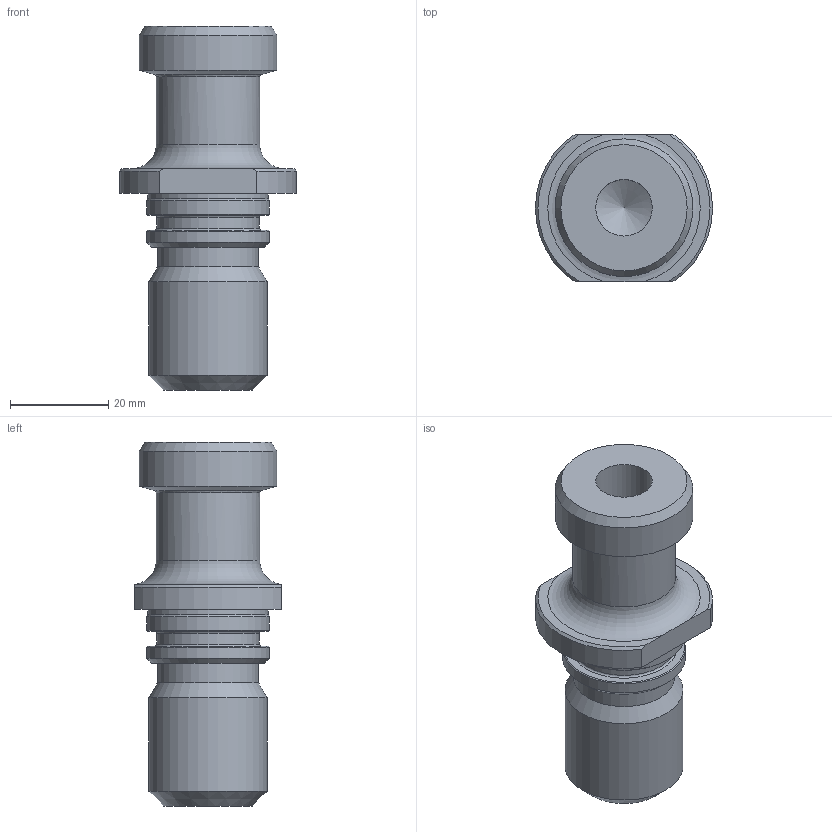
import cadquery as cq
import math


head_diameter = 28.0
head_top = 34.0
head_bottom = 25.0
head_chamfer_height = 1.85
head_chamfer_angle = 32.0
grip_angle = 15.0
grip_root_fillet = 0.5
neck_diameter = 21.0
neck_fillet = 5.0

flange_diameter = 36.0
flange_thickness = 5.0
flange_chamfer = 0.5
width_across_flats = 30.0

undercut_diameter = 24.5
undercut_root_fillet = 0.15
collar_diameter = 25.0
collar_top = -1.1
collar_chamfer_top_height = 0.4
groove_top = -4.5
groove_width = 3.0
groove_diameter = 20.8
groove_root_fillet = 0.4
groove_edge_chamfer = 0.2
collar_bottom = -11.0
collar_bottom_chamfer = 1.0

relief_diameter = 20.5
shank_diameter = 24.0
shank_top = -18.0
shank_taper_angle = 30.0
shank_bottom = -40.0
shank_chamfer = 3.0

hole_diameter = 11.5
hole_depth = 20.0
drill_point_angle = 118.0

SELECTION_MARGIN = 0.01


def tan_degrees(angle):
    return math.tan(math.radians(angle))


def turned_section(points):
    """Solid of revolution about Z from (radius, z) points."""
    outline = cq.Workplane("XZ").polyline(points).close()
    return outline.revolve(360, (0, 0, 0), (0, 1, 0))


def fillet_circle(body, diameter, height, radius):
    """Round the circular edge of the given diameter lying at the given height."""
    outer = diameter / 2 + SELECTION_MARGIN
    inner = diameter / 2 - SELECTION_MARGIN
    bottom = height - SELECTION_MARGIN
    top = height + SELECTION_MARGIN
    disc = cq.selectors.BoxSelector((-outer, -outer, bottom), (outer, outer, top), boundingbox=True)
    core = cq.selectors.BoxSelector((-inner, -inner, bottom), (inner, inner, top), boundingbox=True)
    return body.edges(disc - core).fillet(radius)


def make_head_and_flange():
    head_radius = head_diameter / 2
    neck_radius = neck_diameter / 2
    flange_radius = flange_diameter / 2
    chamfer_inset = head_chamfer_height * tan_degrees(head_chamfer_angle)
    neck_top = head_bottom - (head_radius - neck_radius) * tan_degrees(grip_angle)
    body = turned_section([
        (0, 0),
        (flange_radius, 0),
        (flange_radius, flange_thickness - flange_chamfer),
        (flange_radius - flange_chamfer, flange_thickness),
        (neck_radius, flange_thickness),
        (neck_radius, neck_top),
        (head_radius, head_bottom),
        (head_radius, head_top - head_chamfer_height),
        (head_radius - chamfer_inset, head_top),
        (0, head_top),
    ])
    body = fillet_circle(body, neck_diameter, neck_top, grip_root_fillet)
    return fillet_circle(body, neck_diameter, flange_thickness, neck_fillet)


def cut_flats(body):
    """Trim the part to the width across the two flats, which face -Y and +Y."""
    envelope = cq.Workplane("XY").workplane(offset=shank_bottom).rect(flange_diameter, width_across_flats)
    return body.intersect(envelope.extrude(head_top - shank_bottom))


def make_collar_and_shank():
    undercut_radius = undercut_diameter / 2
    collar_radius = collar_diameter / 2
    groove_mouth_radius = collar_radius - groove_edge_chamfer
    groove_radius = groove_diameter / 2
    relief_radius = relief_diameter / 2
    shank_radius = shank_diameter / 2
    groove_bottom = groove_top - groove_width
    taper_height = (shank_radius - relief_radius) / tan_degrees(shank_taper_angle)
    body = turned_section([
        (0, 0),
        (undercut_radius, 0),
        (undercut_radius, collar_top),
        (collar_radius, collar_top - collar_chamfer_top_height),
        (collar_radius, groove_top + groove_edge_chamfer),
        (groove_mouth_radius, groove_top),
        (groove_radius, groove_top),
        (groove_radius, groove_bottom),
        (groove_mouth_radius, groove_bottom),
        (collar_radius, groove_bottom - groove_edge_chamfer),
        (collar_radius, collar_bottom + collar_bottom_chamfer),
        (collar_radius - collar_bottom_chamfer, collar_bottom),
        (relief_radius, collar_bottom),
        (relief_radius, shank_top + taper_height),
        (shank_radius, shank_top),
        (shank_radius, shank_bottom + shank_chamfer),
        (shank_radius - shank_chamfer, shank_bottom),
        (0, shank_bottom),
    ])
    for groove_side in (groove_top, groove_bottom):
        body = fillet_circle(body, groove_diameter, groove_side, groove_root_fillet)
    return body


def make_hole():
    hole_radius = hole_diameter / 2
    hole_floor = head_top - hole_depth
    point_height = hole_radius / tan_degrees(drill_point_angle / 2)
    return turned_section([
        (0, head_top),
        (hole_radius, head_top),
        (hole_radius, hole_floor),
        (0, hole_floor - point_height),
    ])


upper = cut_flats(make_head_and_flange())
stud = upper.union(make_collar_and_shank())
stud = fillet_circle(stud, undercut_diameter, 0, undercut_root_fillet)
result = stud.cut(make_hole())